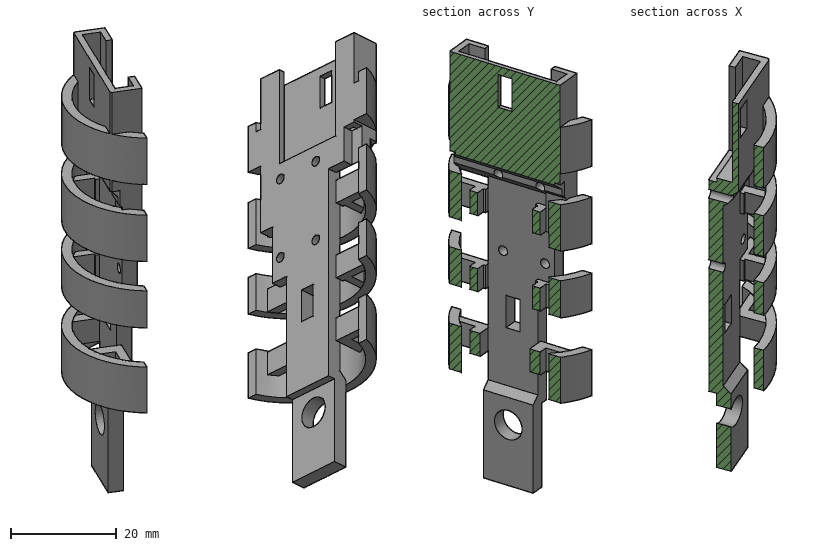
import cadquery as cq
import math

TOTAL_HEIGHT = 90.0

STRAP_WIDTH = 31.7
STRAP_DEPTH = 11.55
STRAP_WALL = 2.0
OUTER_RADIUS = ((STRAP_WIDTH / 2) ** 2 + STRAP_DEPTH ** 2) / (2 * STRAP_DEPTH)
INNER_RADIUS = OUTER_RADIUS - STRAP_WALL
MIDDLE_RADIUS = OUTER_RADIUS - STRAP_WALL / 2
AXIS_Y = OUTER_RADIUS - STRAP_DEPTH
SLEEVE_STRAP = (71.0, 81.0)
UPPER_STRAP = (54.4, 64.4)
MIDDLE_STRAP = (40.1, 48.1)
LOWER_STRAP = (21.8, 31.7)

SLEEVE_WIDTH = 25.0
SLEEVE_DEPTH = 6.25
POCKET_WIDTH = 22.1
POCKET_BACK = 1.3
POCKET_FRONT = 4.9
POCKET_FLOOR = 70.5
SLOT_WIDTH = 15.0
SLOT_DEPTH = 1.65
SLOT_FLOOR = POCKET_FLOOR - 1.0

GAP_DEPTH = 2.0

LIP_BOTTOM = 68.6
STEP_DEPTH = 4.7
STEP_TOP = LIP_BOTTOM - (SLEEVE_DEPTH - STEP_DEPTH)
STEP_BOTTOM = 65.7

NOTCH_DEPTH = 2.1
NOTCH_INNER_X = -9.8
SLEEVE_BOTTOM = STEP_BOTTOM - (STEP_DEPTH - NOTCH_DEPTH)

SPINE_WIDTH = 11.25
SPINE_THICKNESS = 3.05
TONGUE_OFFSET = 1.63
TONGUE_SHOULDER = 18.0
TONGUE_RAMP_TOP = 20.35
TONGUE_RAMP_BOTTOM = 18.9

WIDE_WIDTH = 15.0
WIDE_BOTTOM = 44.2

SCREW_DIAMETER = 2.0
SCREW_X = (-2.25, 7.25)
SCREW_Z = (49.0, 66.1)
TONGUE_HOLE_DIAMETER = 6.2
TONGUE_HOLE_Z = 13.0
WINDOW_WIDTH = 3.1
WINDOW_HEIGHT = 6.9
WINDOW_BOTTOMS = (32.7, 81.2)

BRACKET_BACK = NOTCH_DEPTH
BRACKET_WALL = 1.8
WEB_FRONT = BRACKET_BACK + BRACKET_WALL
BRACKET_HEIGHT = 5.0
BRACKET_DROP = 2.9
LOWER_BRACKET_DROP = 0.2
STRUT_OUTER_X = 8.0
STRUT_INNER_X = 6.15
LOWER_STRUT_INNER_X = SPINE_WIDTH / 2


def block(x_range, y_range, z_range):
    """Box between the given low and high limits on each axis."""
    size = [high - low for low, high in (x_range, y_range, z_range)]
    return cq.Workplane("XY").box(*size, centered=False).translate((x_range[0], y_range[0], z_range[0]))


def centered_block(width, y_range, z_range):
    return block((-width / 2, width / 2), y_range, z_range)


def segment(radius, z_range):
    """Cylinder segment in front of the flat back."""
    bottom, top = z_range
    half_chord = math.sqrt(radius ** 2 - AXIS_Y ** 2)
    return (
        cq.Workplane("XY", origin=(0, 0, bottom))
        .moveTo(-half_chord, 0)
        .threePointArc((0, AXIS_Y - radius), (half_chord, 0))
        .close()
        .extrude(top - bottom)
    )


def strap(z_range):
    return segment(OUTER_RADIUS, z_range).cut(segment(INNER_RADIUS, z_range))


def side_profile(points, x_left, x_right):
    """Extrude a (Y, Z) outline from x_left to x_right."""
    outline = cq.Workplane("YZ", origin=(x_left, 0, 0)).polyline(points).close()
    return outline.extrude(x_right - x_left)


def front_cylinder(x, z, diameter):
    """Cutter along Y through the full depth of the part."""
    return cq.Workplane("XZ", origin=(x, 0, z)).circle(diameter / 2).extrude(STRAP_DEPTH)


def make_sleeve():
    outline = [
        (0, TOTAL_HEIGHT),
        (-SLEEVE_DEPTH, TOTAL_HEIGHT),
        (-SLEEVE_DEPTH, LIP_BOTTOM),
        (-STEP_DEPTH, STEP_TOP),
        (-STEP_DEPTH, STEP_BOTTOM),
        (-NOTCH_DEPTH, SLEEVE_BOTTOM),
        (0, SLEEVE_BOTTOM),
    ]
    half_width = SLEEVE_WIDTH / 2
    sleeve = side_profile(outline, -half_width, half_width)
    envelope = segment(OUTER_RADIUS, (LIP_BOTTOM, TOTAL_HEIGHT))
    envelope = envelope.union(segment(MIDDLE_RADIUS, (SLEEVE_BOTTOM, LIP_BOTTOM)))
    sleeve = sleeve.intersect(envelope)
    pocket = centered_block(POCKET_WIDTH, (-POCKET_FRONT, -POCKET_BACK), (POCKET_FLOOR, TOTAL_HEIGHT))
    slot = centered_block(SLOT_WIDTH, (-SLOT_DEPTH, 0), (SLOT_FLOOR, TOTAL_HEIGHT))
    notch = block((-half_width, NOTCH_INNER_X), (-NOTCH_DEPTH, 0), (SLEEVE_BOTTOM, POCKET_FLOOR))
    return sleeve.cut(pocket).cut(slot).cut(notch)


def make_spine():
    tongue_front = TONGUE_OFFSET + SPINE_THICKNESS
    outline = [
        (0, STEP_BOTTOM),
        (-SPINE_THICKNESS, STEP_BOTTOM),
        (-SPINE_THICKNESS, TONGUE_RAMP_TOP),
        (-tongue_front, TONGUE_RAMP_BOTTOM),
        (-tongue_front, 0),
        (-TONGUE_OFFSET, 0),
        (-TONGUE_OFFSET, TONGUE_SHOULDER),
        (0, TONGUE_SHOULDER),
    ]
    left = -SPINE_WIDTH / 2
    spine = side_profile(outline, left, -left)
    wide_part = block((left, left + WIDE_WIDTH), (-SPINE_THICKNESS, 0), (WIDE_BOTTOM, STEP_BOTTOM))
    return spine.union(wide_part)


def make_right_wall():
    """Wall continuing the right side of the sleeve down to the upper bracket."""
    wall_bottom = UPPER_STRAP[1] - BRACKET_DROP - BRACKET_HEIGHT
    underside_z = STEP_BOTTOM - (STEP_DEPTH - WEB_FRONT)
    return block((STRUT_OUTER_X, SLEEVE_WIDTH / 2), (-WEB_FRONT, 0), (wall_bottom, underside_z))


def make_brackets(bracket_top, strut_inner_x):
    """Side webs and forward struts, both ending at the strap."""
    z_range = (bracket_top - BRACKET_HEIGHT, bracket_top)
    brackets = centered_block(STRAP_WIDTH, (-WEB_FRONT, -BRACKET_BACK), z_range)
    brackets = brackets.cut(centered_block(SPINE_WIDTH, (-WEB_FRONT, 0), z_range))
    struts = centered_block(2 * STRUT_OUTER_X, (-STRAP_DEPTH, -BRACKET_BACK), z_range)
    struts = struts.cut(centered_block(2 * strut_inner_x, (-STRAP_DEPTH, 0), z_range))
    return brackets.union(struts).intersect(segment(MIDDLE_RADIUS, z_range))


def cut_openings(body):
    for z in SCREW_Z:
        for x in SCREW_X:
            body = body.cut(front_cylinder(x, z, SCREW_DIAMETER))
    for bottom in WINDOW_BOTTOMS:
        z_range = (bottom, bottom + WINDOW_HEIGHT)
        body = body.cut(centered_block(WINDOW_WIDTH, (-SLEEVE_DEPTH, 0), z_range))
    return body.cut(front_cylinder(0, TONGUE_HOLE_Z, TONGUE_HOLE_DIAMETER))


def make_sleeve_strap():
    """Strap around the sleeve, with the gaps beside the sleeve closed below its top."""
    bottom, top = SLEEVE_STRAP
    filler = segment(MIDDLE_RADIUS, (bottom, top - GAP_DEPTH))
    filler = filler.intersect(centered_block(STRAP_WIDTH, (-SLEEVE_DEPTH, 0), SLEEVE_STRAP))
    sleeve_space = centered_block(SLEEVE_WIDTH, (-SLEEVE_DEPTH, 0), SLEEVE_STRAP)
    return strap(SLEEVE_STRAP).union(filler).cut(sleeve_space)


result = cut_openings(make_spine().union(make_sleeve()))
result = result.union(make_right_wall()).union(make_sleeve_strap())

for z_limits, drop, inner_x in (
    (UPPER_STRAP, BRACKET_DROP, STRUT_INNER_X),
    (MIDDLE_STRAP, BRACKET_DROP, STRUT_INNER_X),
    (LOWER_STRAP, LOWER_BRACKET_DROP, LOWER_STRUT_INNER_X),
):
    result = result.union(strap(z_limits)).union(make_brackets(z_limits[1] - drop, inner_x))